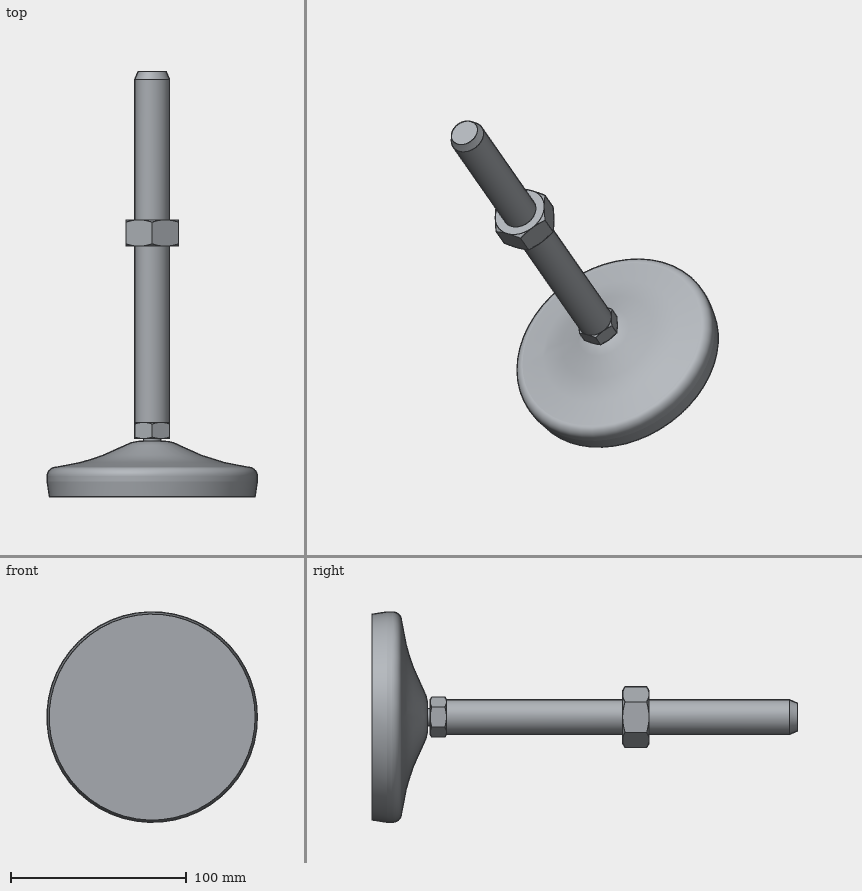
import cadquery as cq
import math

total_length = 242.5

foot_diameter = 120.0
sole_diameter = 117.4
band_start = 8.7
band_end = 11.6
shoulder_radius = 5.3
flank_mid_radius = 32.7
flank_mid_height = 22.0
flank_top_radius = 15.5
flank_top_height = 29.3
crown_radius = 6.5
crown_height = 31.8

spindle_diameter = 20.0
neck_diameter = spindle_diameter / 2
tip_length = 4.5
tip_inset = 2.0

spindle_hex_width = spindle_diameter
spindle_hex_start = 33.2
spindle_hex_height = 9.2
nut_width = 30.0
nut_start = 142.8
nut_height = 15.0
hex_chamfer_angle = 30.0


def cylinder(diameter, start, end):
    """Cylinder around the Y axis between two heights."""
    disc = cq.Workplane("XZ", origin=(0, start, 0)).circle(diameter / 2)
    return disc.extrude(start - end)


def chamfered_hexagon(width, start, height):
    """Hexagonal prism along Y whose corners are trimmed by a cone at both ends."""
    corner_radius = width / math.sqrt(3)
    end_radius = width / 2
    chamfer = (corner_radius - end_radius) * math.tan(math.radians(hex_chamfer_angle))
    end = start + height
    prism = (
        cq.Workplane("XZ", origin=(0, start, 0))
        .transformed(rotate=(0, 0, 90))
        .polygon(6, 2 * corner_radius)
        .extrude(-height)
    )
    clearance = corner_radius - end_radius
    envelope = (
        cq.Workplane("XY")
        .moveTo(0, start)
        .lineTo(end_radius, start)
        .lineTo(corner_radius + clearance, start + 2 * chamfer)
        .lineTo(corner_radius + clearance, end - 2 * chamfer)
        .lineTo(end_radius, end)
        .lineTo(0, end)
        .close()
        .revolve(360, (0, 0), (0, 1))
    )
    return prism.intersect(envelope)


def foot_plate():
    """Round plate with a tapered rim, a rounded shoulder and a bell-shaped flank."""
    rim_radius = foot_diameter / 2
    shoulder_inner = rim_radius - shoulder_radius
    shoulder_top = band_end + shoulder_radius
    arc_offset = shoulder_radius * math.sqrt(0.5)

    crown_drop = crown_height - flank_top_height
    crown_half_turn = math.atan2(crown_drop, flank_top_radius - crown_radius)
    crown_arc_radius = crown_drop / (1 - math.cos(2 * crown_half_turn))
    crown_mid = (
        crown_radius + crown_arc_radius * math.sin(crown_half_turn),
        crown_height - crown_arc_radius * (1 - math.cos(crown_half_turn)),
    )
    return (
        cq.Workplane("XY")
        .lineTo(sole_diameter / 2, 0)
        .lineTo(rim_radius, band_start)
        .lineTo(rim_radius, band_end)
        .threePointArc(
            (shoulder_inner + arc_offset, band_end + arc_offset),
            (shoulder_inner, shoulder_top),
        )
        .threePointArc((flank_mid_radius, flank_mid_height), (flank_top_radius, flank_top_height))
        .threePointArc(crown_mid, (crown_radius, crown_height))
        .lineTo(0, crown_height)
        .close()
        .revolve(360, (0, 0), (0, 1))
    )


def spindle():
    """Plain rod from the spindle hexagon to a tapered tip."""
    rod = cylinder(spindle_diameter, spindle_hex_start + spindle_hex_height, total_length)
    return rod.faces(">Y").chamfer(tip_length, tip_inset)


result = (
    foot_plate()
    .union(cylinder(neck_diameter, crown_height, spindle_hex_start))
    .union(chamfered_hexagon(spindle_hex_width, spindle_hex_start, spindle_hex_height))
    .union(spindle())
    .union(chamfered_hexagon(nut_width, nut_start, nut_height))
)